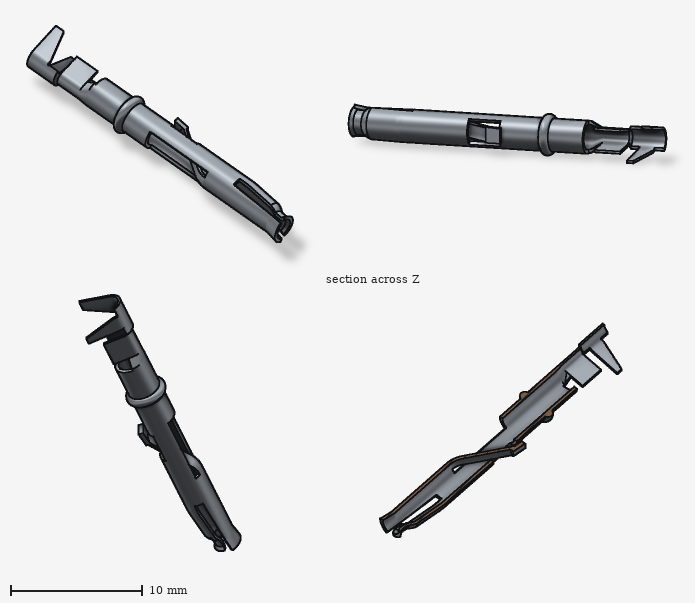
import cadquery as cq
import math

length = 25.0
sheet = 0.2

barrel_radius = 1.28
barrel_wall = 0.3
bore_radius = barrel_radius - barrel_wall
barrel_start = 5.82
bead_x = 9.02
bead_radius = 0.4
bead_ring_radius = 1.2

insulation_end = 2.68
insulation_radius = 1.02
insulation_floor = -1.48
insulation_splay = 10.0
insulation_rim = -0.95
neck_blank_top = 0.0
ear_top = 1.9
ear_root = -0.6
far_ear_tip = (0.0, 0.8)
far_ear_root = (0.0, 1.65)
near_ear_tip = (1.5, 2.0)
near_ear_root = (0.78, 2.0)

wire_start = 2.88
wire_end = 4.95
wire_radius = 0.72
wire_floor = -barrel_radius
wire_splay = 8.0
wire_top = 1.02

trough_end = 5.68
trough_rim = -0.18
trough_leg = 0.02

window_start = 11.78
window_end = 17.58
window_half_angle = 54.5
exit_start = 12.6
exit_end = 15.18
exit_half_angle = 51.0
tongue_bend_radius = 1.88
tongue_angle = 34.0
tongue_root_half_width = 0.7
tongue_tip_half_width = 0.58
tongue_tip_x = 12.3
lip_start = 13.5
lip_angle = 8.0
lip_thickness = 0.38

fork_start = 19.92
fork_half_angle = 107.0
fork_end_half_angle = 123.0
flare_start = 23.92
flare_rise = 0.2
spring_half_angle = 76.0
spring_bend_x = 20.5
spring_bend_pivot = -3.5
spring_angle = 7.0
pinch_start = 22.88
pinch_neck_start = 23.48
pinch_neck_end = 24.15
spring_end = 24.42
pinch_radius = 0.98
shoulder_bulge = 0.05
spring_mouth_radius = 1.2

margin = 5.0


def plate(points, z0=-margin, z1=margin):
    """Prism along Z with an outline in X and Y."""
    return cq.Workplane("XY").workplane(offset=z0).polyline(points).close().extrude(z1 - z0)


def block(x0, x1, y0, y1):
    """Box between two X and two Y positions, deeper along Z than the part."""
    return plate([(x0, y0), (x1, y0), (x1, y1), (x0, y1)])


def wedge(x0, x1, direction, half_angle, end_half_angle=None):
    """Sector round the X axis, centred on +Y (1) or -Y (-1), whose sides are radial planes."""

    def sector(x, degrees):
        angle = math.radians(degrees)
        side_y = direction * margin * math.cos(angle)
        side_z = margin * math.sin(angle)
        far_y = direction * margin
        outline = [(0, 0), (side_y, side_z), (far_y, margin), (far_y, -margin), (side_y, -side_z)]
        return cq.Workplane("YZ", origin=(x, 0, 0)).polyline(outline).close().wire().val()

    end_angle = half_angle if end_half_angle is None else end_half_angle
    return cq.Workplane(cq.Solid.makeLoft([sector(x0, half_angle), sector(x1, end_angle)], True))


def wall_arc(x, direction, half_angle):
    """Outline of a barrel wall strip centred on +Y (1) or -Y (-1), with radial edges."""
    angle = math.radians(half_angle)

    def corner(r, side):
        return (direction * r * math.cos(angle), side * r * math.sin(angle))

    return (
        cq.Workplane("YZ", origin=(x, 0, 0))
        .moveTo(*corner(barrel_radius, 1))
        .threePointArc((direction * barrel_radius, 0), corner(barrel_radius, -1))
        .lineTo(*corner(bore_radius, -1))
        .threePointArc((direction * bore_radius, 0), corner(bore_radius, 1))
        .close()
    )


def u_wire(x, radius, floor, splay, top, wall=sheet):
    """Closed U-shaped sheet outline: a round floor and two tangent legs leaning outwards."""
    centre = floor + radius
    lean = math.radians(splay)

    def tangent_point(r, side):
        return (centre - r * math.sin(lean), side * r * math.cos(lean))

    def leg_end(r, side):
        y, z = tangent_point(r, side)
        return (top, z + side * (top - y) * math.tan(lean))

    inner = radius - wall
    return (
        cq.Workplane("YZ", origin=(x, 0, 0))
        .moveTo(*leg_end(radius, 1))
        .lineTo(*tangent_point(radius, 1))
        .threePointArc((floor, 0), tangent_point(radius, -1))
        .lineTo(*leg_end(radius, -1))
        .lineTo(*leg_end(inner, -1))
        .lineTo(*tangent_point(inner, -1))
        .threePointArc((floor + wall, 0), tangent_point(inner, 1))
        .lineTo(*leg_end(inner, 1))
        .close()
        .wire()
        .val()
    )


def u_loft(start, end):
    """Sheet trough between two U-shaped outlines, each given by its u_wire arguments."""
    return cq.Workplane(cq.Solid.makeLoft([u_wire(*start), u_wire(*end)], True))


def insulation_crimp():
    """U-shaped band trimmed to a low rim, with one ear left standing on each leg."""
    section = (insulation_radius, insulation_floor, insulation_splay, ear_top)
    band = u_loft((0, *section), (insulation_end, *section))
    mask = block(0, insulation_end, insulation_floor, insulation_rim)
    for tip, root, z0, z1 in (
        (far_ear_tip, far_ear_root, 0, margin),
        (near_ear_tip, near_ear_root, -margin, 0),
    ):
        outline = [
            (root[0], insulation_rim),
            (root[0], ear_root),
            (tip[0], ear_top),
            (tip[1], ear_top),
            (root[1], ear_root),
            (root[1], insulation_rim),
        ]
        mask = mask.union(plate(outline, z0, z1))
    return band.intersect(mask)


def neck():
    """Low band joining the floors of the two crimps; its legs are cut down to the rim."""
    return u_loft(
        (insulation_end, insulation_radius, insulation_floor, insulation_splay, neck_blank_top),
        (wire_start, wire_radius, wire_floor, wire_splay, neck_blank_top),
    ).cut(block(0, wire_start, insulation_rim, margin))


def wire_crimp():
    section = (wire_radius, wire_floor, wire_splay, wire_top)
    return u_loft((wire_start, *section), (wire_end, *section))


def trough():
    """Open cone that ends in a short length with the barrel's radius and wall."""
    barrel_splay = math.degrees(math.asin((trough_leg - trough_rim) / barrel_radius))
    barrel_section = (barrel_radius, -barrel_radius, barrel_splay, trough_rim, barrel_wall)
    cone = u_loft(
        (wire_end, wire_radius, wire_floor, wire_splay, trough_rim),
        (trough_end, *barrel_section),
    )
    return cone.union(u_loft((trough_end, *barrel_section), (barrel_start, *barrel_section)))


def barrel():
    """Tube with its bead and flared mouth, cut by the two openings and the fork gap."""
    flared = (
        cq.Workplane("XY")
        .polyline(
            [
                (barrel_start, bore_radius),
                (barrel_start, barrel_radius),
                (flare_start, barrel_radius),
                (length, barrel_radius + flare_rise),
                (length, bore_radius + flare_rise),
                (flare_start, bore_radius),
            ]
        )
        .close()
        .revolve(360, (0, 0), (1, 0))
    )
    bead = (
        cq.Workplane("XY")
        .center(bead_x, bead_ring_radius)
        .circle(bead_radius)
        .revolve(360, (0, -bead_ring_radius), (1, -bead_ring_radius))
    )
    bore_length = flare_start - barrel_start
    bore = cq.Workplane("YZ", origin=(barrel_start, 0, 0)).circle(bore_radius).extrude(bore_length)
    window = wedge(window_start, window_end, -1, window_half_angle)
    tongue_exit = wedge(exit_start, exit_end, 1, exit_half_angle)
    return flared.union(bead.cut(bore)).cut(window).cut(tongue_exit).cut(fork_gap())


def fork_gap():
    """Everything above the straight prong, except the root of the spring prong."""
    gap = wedge(fork_start, length, 1, fork_half_angle, fork_end_half_angle)
    return gap.cut(wedge(fork_start, spring_bend_x, 1, spring_half_angle))


def tongue():
    """Wall strip bent across the bore, ending in a flat lip outside the barrel on +Y."""
    tongue_half_angle = math.degrees(math.asin(tongue_root_half_width / barrel_radius))
    pivot_y = tongue_bend_radius - barrel_radius
    bend = wall_arc(window_end, -1, tongue_half_angle).revolve(tongue_angle, (pivot_y, 0.25), (pivot_y, 0))
    slope = math.radians(tongue_angle)
    lean = math.radians(lip_angle)
    bend_end_x = window_end - tongue_bend_radius * math.sin(slope)
    ramp_length = (bend_end_x - tongue_tip_x) / math.cos(slope)
    ramp = wall_arc(window_end, -1, tongue_half_angle).extrude(-ramp_length).rotate(
        (window_end, pivot_y, 0), (window_end, pivot_y, 1), -tongue_angle
    )
    lip_length = lip_start - tongue_tip_x
    tip_y = ear_top - lip_thickness
    lip_drop = lip_length * math.tan(lean)
    lip = plate(
        [
            (tongue_tip_x, tip_y),
            (tongue_tip_x, ear_top),
            (lip_start, ear_top - lip_drop),
            (lip_start, tip_y - lip_drop),
        ]
    )
    above_lip = plate(
        [
            (tongue_tip_x - margin, ear_top + margin * math.tan(lean)),
            (lip_start + margin, ear_top - (lip_length + margin) * math.tan(lean)),
            (lip_start + margin, margin),
            (tongue_tip_x - margin, margin),
        ]
    )
    taper = (
        cq.Workplane("XZ")
        .polyline(
            [
                (tongue_tip_x, -tongue_tip_half_width),
                (tongue_tip_x, tongue_tip_half_width),
                (bend_end_x, tongue_root_half_width),
                (window_end, tongue_root_half_width),
                (window_end, -tongue_root_half_width),
                (bend_end_x, -tongue_root_half_width),
            ]
        )
        .close()
        .extrude(margin, both=True)
    )
    return bend.union(ramp.cut(above_lip)).union(lip).intersect(taper)


def spring_prong():
    """Upper fork prong beyond its root: bend towards the axis, then a pinched and flared mouth."""
    bend = wall_arc(spring_bend_x, 1, spring_half_angle).revolve(
        spring_angle, (spring_bend_pivot, 0.25), (spring_bend_pivot, 0)
    )
    shoulder_x = (pinch_start + pinch_neck_start) / 2
    shoulder_radius = (barrel_radius + pinch_radius) / 2 + shoulder_bulge
    mouth = (
        cq.Workplane("XY")
        .moveTo(spring_bend_x, barrel_radius)
        .lineTo(pinch_start, barrel_radius)
        .threePointArc((shoulder_x, shoulder_radius), (pinch_neck_start, pinch_radius))
        .lineTo(pinch_neck_end, pinch_radius)
        .lineTo(spring_end, spring_mouth_radius)
        .lineTo(spring_end, spring_mouth_radius - barrel_wall)
        .lineTo(pinch_neck_end, pinch_radius - barrel_wall)
        .lineTo(pinch_neck_start, pinch_radius - barrel_wall)
        .threePointArc((shoulder_x, shoulder_radius - barrel_wall), (pinch_start, bore_radius))
        .lineTo(spring_bend_x, bore_radius)
        .close()
        .revolve(360, (0, 0), (1, 0))
        .intersect(wedge(spring_bend_x, spring_end, 1, spring_half_angle))
        .rotate((spring_bend_x, spring_bend_pivot, 0), (spring_bend_x, spring_bend_pivot, 1), -spring_angle)
    )
    return bend.union(mouth)


result = (
    insulation_crimp()
    .union(neck())
    .union(wire_crimp())
    .union(trough())
    .union(barrel())
    .union(tongue())
    .union(spring_prong())
)